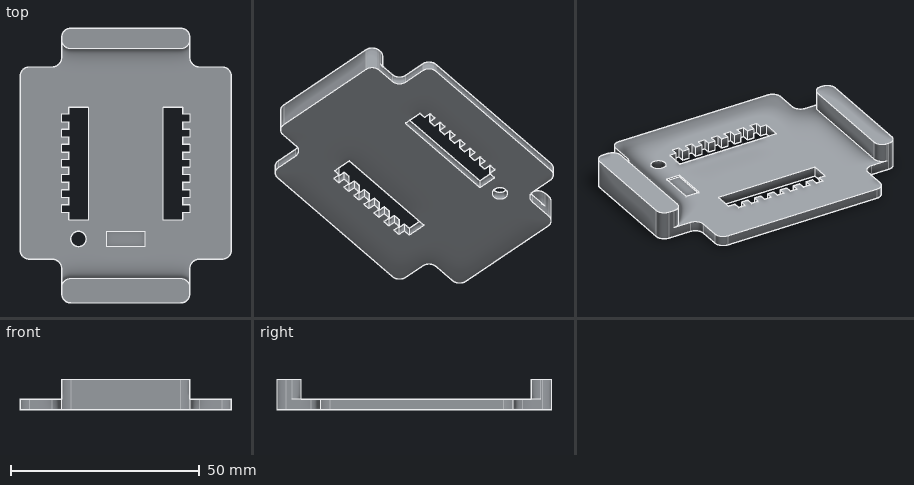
import cadquery as cq

length = 72.8
body_width = 56.0
body_length = 51.0
body_center_y = 0.65
tongue_width = 34.0
plate_thickness = 2.85
corner_radius = 2.5

total_height = 8.1
front_wall_thickness = 6.5
back_wall_thickness = 5.45

window_inner_x = 9.9
window_width = 5.2
window_length = 29.85
window_center_y = 0.5
notch_count = 7
notch_center_y = 0.6
notch_width = 2.0
notch_pitch = 2 * notch_width
notch_depth = tongue_width / 2 - window_inner_x - window_width

hole_diameter = 4.0
hole_x = -12.5
detail_center_y = -19.45
pocket_width = 10.1
pocket_length = 4.0
pocket_depth = 0.5


def block(width, depth, height, x, y, z=0.0):
    """Box centered on (x, y) with its underside at z."""
    return cq.Workplane("XY", origin=(x, y, z)).rect(width, depth).extrude(height)


def base_plate():
    """Cross-shaped plate with all outer and inner corners rounded."""
    body = block(body_width, body_length, plate_thickness, 0, body_center_y)
    tongue = block(tongue_width, length, plate_thickness, 0, 0)
    return body.union(tongue).edges("|Z").fillet(corner_radius)


def end_wall(thickness, side):
    """Round-cornered wall flush with the +Y (side=1) or -Y (side=-1) end."""
    center_y = side * (length - thickness) / 2
    wall = block(tongue_width, thickness, total_height, 0, center_y)
    return wall.edges("|Z").fillet(corner_radius)


def toothed_window(side):
    """Through window at +X or -X with a row of notches along its outer edge."""
    window_x = side * (window_inner_x + window_width / 2)
    notch_x = side * (window_inner_x + (window_width + notch_depth) / 2)
    cutter = block(window_width, window_length, plate_thickness, window_x, window_center_y)
    for index in range(notch_count):
        notch_y = notch_center_y + (index - (notch_count - 1) / 2) * notch_pitch
        notch = block(window_width + notch_depth, notch_width, plate_thickness, notch_x, notch_y)
        cutter = cutter.union(notch)
    return cutter


def round_hole():
    center = (hole_x, detail_center_y)
    return cq.Workplane("XY").center(*center).circle(hole_diameter / 2).extrude(plate_thickness)


def pocket():
    floor_z = plate_thickness - pocket_depth
    return block(pocket_width, pocket_length, pocket_depth, 0, detail_center_y, floor_z)


result = base_plate()
result = result.union(end_wall(back_wall_thickness, 1))
result = result.union(end_wall(front_wall_thickness, -1))
for side in (-1, 1):
    result = result.cut(toothed_window(side))
result = result.cut(round_hole())
result = result.cut(pocket())